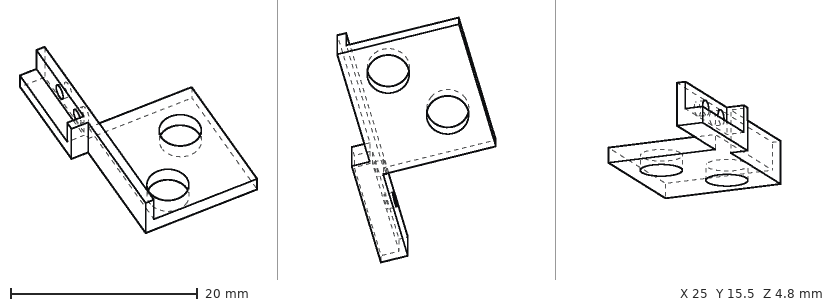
import cadquery as cq

length = 25
depth = 15.5
height = 4.8

wall_thickness = 1
ledge_projection = 2
ledge_height = 1.8
ledge_length = 11.82
end_wall_thickness = 1

plate_length = 15
plate_thickness = 1.7
plate_hole_diameter = 4.5
plate_hole_centers = [(14.95, 11.5), (21.3, 6.65)]

wall_hole_diameter = 1.6
first_wall_hole_x = 5.32
wall_hole_spacing = 4
wall_hole_z = (ledge_height + height) / 2

wall_back = ledge_projection + wall_thickness


def block(x, y, size_x, size_y, size_z):
    """Box standing on the base plane with its lower corner at (x, y)."""
    return cq.Workplane("XY").box(size_x, size_y, size_z, centered=False).translate((x, y, 0))


wall = block(0, ledge_projection, length, wall_thickness, height)
ledge = block(0, 0, ledge_length, ledge_projection, ledge_height)
end_wall = block(
    ledge_length - end_wall_thickness, 0, end_wall_thickness, ledge_projection, height
)
plate = block(
    length - plate_length, wall_back, plate_length, depth - wall_back, plate_thickness
)
body = wall.union(ledge).union(end_wall).union(plate)

plate_holes = (
    cq.Workplane("XY")
    .pushPoints(plate_hole_centers)
    .circle(plate_hole_diameter / 2)
    .extrude(plate_thickness)
)

wall_hole_centers = [(first_wall_hole_x + i * wall_hole_spacing, wall_hole_z) for i in range(2)]
wall_holes = (
    cq.Workplane("XZ", origin=(0, wall_back, 0))
    .pushPoints(wall_hole_centers)
    .circle(wall_hole_diameter / 2)
    .extrude(wall_thickness)
)

result = body.cut(plate_holes).cut(wall_holes)